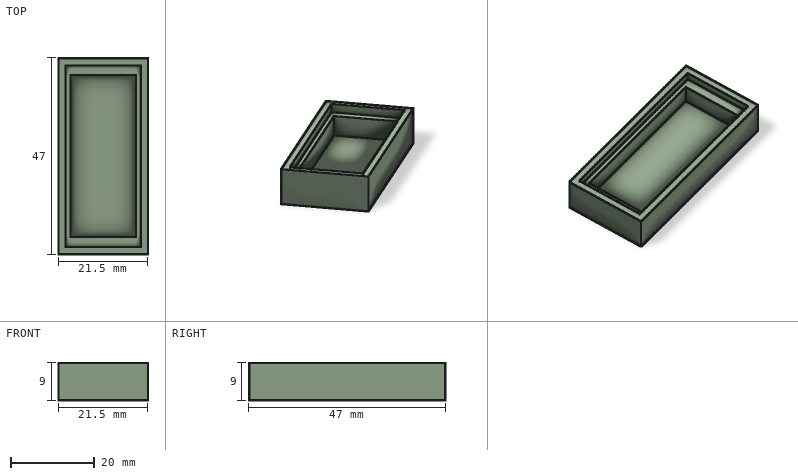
import cadquery as cq

width = 21.5
length = 47.0
height = 9.0

rim = 1.75
recess_depth = 2.1

side_ledge = 1.18
end_ledge = 2.35
pocket_depth = 5.0

recess_width = width - 2 * rim
recess_length = length - 2 * rim
pocket_width = recess_width - 2 * side_ledge
pocket_length = recess_length - 2 * end_ledge


def block_below(top, size_x, size_y, depth):
    """Centred rectangular block whose upper face is at height top."""
    return cq.Workplane("XY").workplane(offset=top - depth).rect(size_x, size_y).extrude(depth)


body = block_below(height, width, length, height)
recess = block_below(height, recess_width, recess_length, recess_depth)
pocket = block_below(height - recess_depth, pocket_width, pocket_length, pocket_depth)

result = body.cut(recess).cut(pocket)